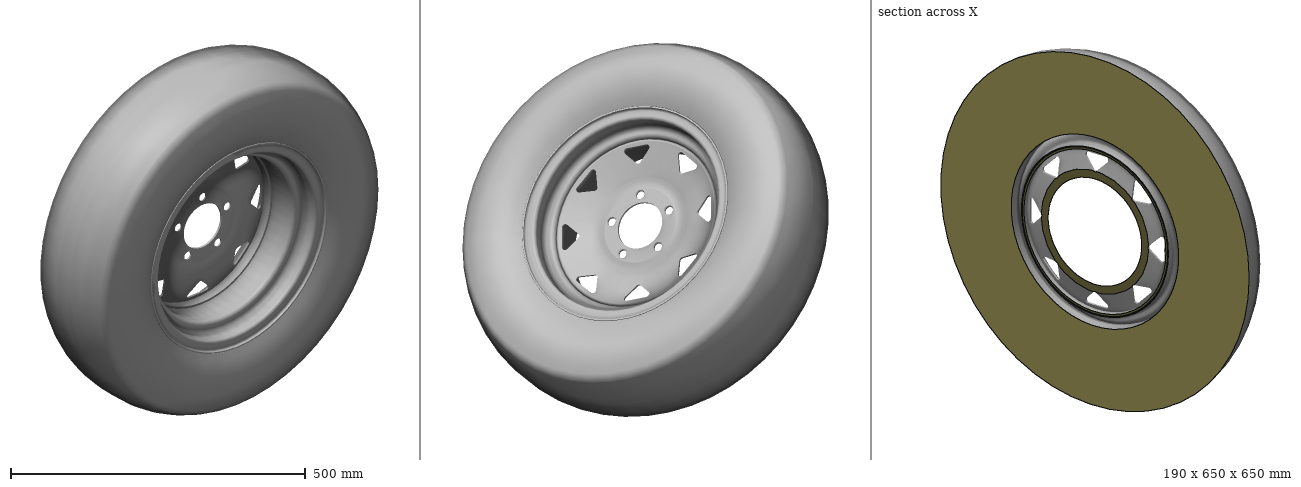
import cadquery as cq
import math


TYRE_RADIUS = 325.0
TYRE_HALF_WIDTH = 95.0
TREAD_FLAT_HALF_WIDTH = 14.6
CROWN_RADIUS = 128.0
SHOULDER_HALF_WIDTH = 79.0
SIDEWALL_RADIUS = 120.0
SIDEWALL_WIDEST = 256.0
BEAD_RADIUS = 195.5
SIDEWALL_TOP = 296.5

SHEET = 2.5
LIP_RADIUS = 195.0
SEAT_RADIUS = 175.5
WELL_RADIUS = 155.0
LIP_HALF_WIDTH = 79.0
FLANGE_HALF_WIDTH = 74.0
WELL_HALF_WIDTH = 41.5
LIP_BEND = 3.6
FLANGE_BEND = 3.0
SEAT_BEND = 8.0
WELL_BEND = 5.0

SKIRT_RADIUS = WELL_RADIUS - SHEET
DISC_SHEET = 4.0
SKIRT_END = -15.5
DISH_EDGE = -38.0
SKIRT_BEND = 4.2
HUB_FACE = -21.5
HUB_RADIUS = 67.5
GROOVE_OUTER_RADIUS = 88.0
BORE_DIAMETER = 84.0
BOLT_COUNT = 5
BOLT_CIRCLE_RADIUS = 56.9
BOLT_HOLE_DIAMETER = 15.0
BOLT_HOLE_CHAMFER = 1.0
WINDOW_COUNT = 8
WINDOW_BASE = 141.0
WINDOW_TIP = 110.0
WINDOW_CORNER = 5.0

TOLERANCE = 6.5e-06


def revolve_about_x(profile):
    return profile.close().revolve(360, (0, 0, 0), (1, 0, 0))


def mirrored(corners):
    """Return the corners followed by their mirror images across X = 0, in path order."""
    return corners + [(-x, r, bend) for x, r, bend in reversed(corners)]


def draw_bent_path(profile, corners):
    """Continue the profile through (x, radius, bend) corners, rounding each corner with its bend radius.

    The profile must already stand on the first corner.
    """
    here = cq.Vector(*corners[0][:2])
    for i in range(1, len(corners)):
        x, r, bend = corners[i]
        corner = cq.Vector(x, r)
        if bend == 0:
            if (corner - here).Length > TOLERANCE:
                profile = profile.lineTo(x, r)
            here = corner
            continue
        before = (cq.Vector(*corners[i - 1][:2]) - corner).normalized()
        after = (cq.Vector(*corners[i + 1][:2]) - corner).normalized()
        half_angle = before.getAngle(after) / 2
        tangent_length = bend / math.tan(half_angle)
        centre = corner + (before + after).normalized() * (bend / math.sin(half_angle))
        middle = centre + (corner - centre).normalized() * bend
        start = corner + before * tangent_length
        if (start - here).Length > TOLERANCE:
            profile = profile.lineTo(start.x, start.y)
        here = corner + after * tangent_length
        profile = profile.threePointArc((middle.x, middle.y), (here.x, here.y))
    return profile


def rim_tyre_side():
    """Corners of the barrel surface that carries the tyre."""
    flange = SHEET - FLANGE_HALF_WIDTH
    wall = SHEET - WELL_HALF_WIDTH
    return mirrored([
        (-LIP_HALF_WIDTH, LIP_RADIUS, 0),
        (flange, LIP_RADIUS, LIP_BEND + SHEET),
        (flange, SEAT_RADIUS, FLANGE_BEND),
        (wall, SEAT_RADIUS, SEAT_BEND + SHEET),
        (wall, WELL_RADIUS, WELL_BEND),
    ])


def rim_axle_side():
    """Corners of the barrel surface that faces the axle."""
    return mirrored([
        (-LIP_HALF_WIDTH, LIP_RADIUS - SHEET, 0),
        (-FLANGE_HALF_WIDTH, LIP_RADIUS - SHEET, LIP_BEND),
        (-FLANGE_HALF_WIDTH, SEAT_RADIUS - SHEET, FLANGE_BEND + SHEET),
        (-WELL_HALF_WIDTH, SEAT_RADIUS - SHEET, SEAT_BEND),
        (-WELL_HALF_WIDTH, WELL_RADIUS - SHEET, WELL_BEND + SHEET),
    ])


def make_rim():
    profile = cq.Workplane("XY").moveTo(-LIP_HALF_WIDTH, LIP_RADIUS)
    return revolve_about_x(draw_bent_path(profile, rim_tyre_side() + rim_axle_side()[::-1]))


def sidewall_half_width(radius):
    """Half width of the tyre at a distance from the axis, on the sidewall arc."""
    rise = radius - SIDEWALL_WIDEST
    return TYRE_HALF_WIDTH - SIDEWALL_RADIUS + math.sqrt(SIDEWALL_RADIUS**2 - rise**2)


def crown_height(half_width):
    """Distance from the axis to the crown arc, which is tangent to the tread flat."""
    run = half_width - TREAD_FLAT_HALF_WIDTH
    return TYRE_RADIUS - CROWN_RADIUS + math.sqrt(CROWN_RADIUS**2 - run**2)


def shoulder_bend_middle(shoulder, sidewall_top):
    """Middle of the arc that leaves the crown tangentially at the shoulder and ends on the sidewall."""
    start = cq.Vector(*shoulder)
    chord = cq.Vector(*sidewall_top) - start
    inward = (cq.Vector(TREAD_FLAT_HALF_WIDTH, TYRE_RADIUS - CROWN_RADIUS) - start).normalized()
    bend_radius = chord.dot(chord) / (2 * chord.dot(inward))
    centre = start + inward * bend_radius
    middle = centre + (start + chord * 0.5 - centre).normalized() * bend_radius
    return (middle.x, middle.y)


def across(point):
    """Mirror image of a profile point on the other side of the tyre."""
    return (-point[0], point[1])


def make_tyre():
    """A solid tyre whose beads stand between the flanges and whose bore rests on the seats."""
    bead = (sidewall_half_width(BEAD_RADIUS), BEAD_RADIUS)
    widest = (TYRE_HALF_WIDTH, SIDEWALL_WIDEST)
    sidewall_top = (sidewall_half_width(SIDEWALL_TOP), SIDEWALL_TOP)
    shoulder = (SHOULDER_HALF_WIDTH, crown_height(SHOULDER_HALF_WIDTH))
    shoulder_bend = shoulder_bend_middle(shoulder, sidewall_top)
    crown_half_width = (SHOULDER_HALF_WIDTH + TREAD_FLAT_HALF_WIDTH) / 2
    crown = (crown_half_width, crown_height(crown_half_width))
    tread_edge = (TREAD_FLAT_HALF_WIDTH, TYRE_RADIUS)
    flange = FLANGE_HALF_WIDTH - SHEET
    bore = mirrored([
        (*across(bead), 0),
        (-flange, BEAD_RADIUS, LIP_BEND + SHEET),
        (-flange, SEAT_RADIUS, FLANGE_BEND),
    ])

    profile = (
        cq.Workplane("XY")
        .moveTo(*bead)
        .threePointArc(widest, sidewall_top)
        .threePointArc(shoulder_bend, shoulder)
        .threePointArc(crown, tread_edge)
        .lineTo(*across(tread_edge))
        .threePointArc(across(crown), across(shoulder))
        .threePointArc(across(shoulder_bend), across(sidewall_top))
        .threePointArc(across(widest), across(bead))
    )
    return revolve_about_x(draw_bent_path(profile, bore))


def around_x(cutter, count):
    """Return copies of a cutter evenly spaced about the X axis."""
    copies = cq.Workplane("XY")
    for i in range(count):
        copies = copies.add(cutter.rotate((0, 0, 0), (1, 0, 0), 360 * i / count))
    return copies.combine()


def bolt_holes():
    """Through holes on the bolt circle, each with a chamfered mouth on the hub face."""
    radius = BOLT_HOLE_DIAMETER / 2
    hole = (
        cq.Workplane("XY")
        .moveTo(HUB_FACE, 0)
        .lineTo(HUB_FACE, radius + BOLT_HOLE_CHAMFER)
        .lineTo(HUB_FACE + BOLT_HOLE_CHAMFER, radius)
        .lineTo(HUB_FACE + DISC_SHEET, radius)
        .lineTo(HUB_FACE + DISC_SHEET, 0)
    )
    hole = revolve_about_x(hole).translate((0, 0, BOLT_CIRCLE_RADIUS))
    return around_x(hole, BOLT_COUNT)


def windows():
    """Right-angled triangular cutters with rounded corners, tips pointing at the axle."""
    half_base = WINDOW_BASE - WINDOW_TIP
    window = (
        cq.Workplane("YZ", origin=(DISH_EDGE, 0, 0))
        .polyline([(0, WINDOW_TIP), (half_base, WINDOW_BASE), (-half_base, WINDOW_BASE)])
        .close()
        .extrude(SKIRT_END - DISH_EDGE)
        .edges("|X")
        .fillet(WINDOW_CORNER)
    )
    return around_x(window, WINDOW_COUNT)


def make_disc():
    slope = (HUB_FACE - DISH_EDGE) / (SKIRT_RADIUS - GROOVE_OUTER_RADIUS)
    groove_half = (GROOVE_OUTER_RADIUS - HUB_RADIUS) / 2
    groove_bend = groove_half / math.sin(math.atan(slope))
    groove = (HUB_FACE + slope * groove_half, HUB_RADIUS + groove_half)
    bore = BORE_DIAMETER / 2
    front = [
        (HUB_FACE, bore, 0),
        (HUB_FACE, HUB_RADIUS, 0),
        (*groove, groove_bend),
        (DISH_EDGE, SKIRT_RADIUS, SKIRT_BEND),
        (SKIRT_END, SKIRT_RADIUS, 0),
    ]
    back = [
        (SKIRT_END, SKIRT_RADIUS - DISC_SHEET, 0),
        (DISH_EDGE + DISC_SHEET * (1 + slope), SKIRT_RADIUS - DISC_SHEET, 0),
        (groove[0] + DISC_SHEET, groove[1], groove_bend),
        (HUB_FACE + DISC_SHEET, HUB_RADIUS, 0),
        (HUB_FACE + DISC_SHEET, bore, 0),
    ]
    profile = cq.Workplane("XY").moveTo(HUB_FACE, bore)
    disc = revolve_about_x(draw_bent_path(profile, front + back))
    return disc.cut(bolt_holes()).cut(windows())


tyre = make_tyre()
rim = make_rim()
disc = make_disc()
result = cq.Compound.makeCompound([tyre.val(), rim.val(), disc.val()])